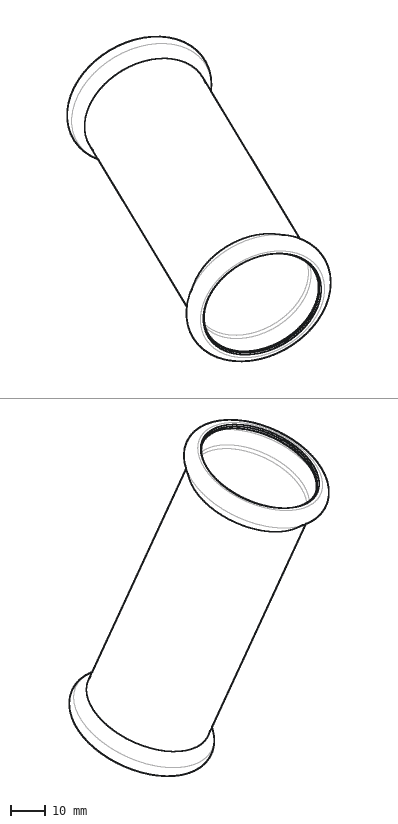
import cadquery as cq
import math

length = 102.0
tube_radius = 38.4 / 2
bore_radius = 35.3 / 2
lip_radius = 35.9 / 2
bead_outer_radius = 44.6 / 2
lip_chamfer = 0.4
bead_radius = 3.0
bead_end = 8.5
blend_radius = 2.0

wall = tube_radius - bore_radius
bead_center_radius = bead_outer_radius - bead_radius
groove_radius = bead_radius - wall
bead_center = (bead_radius, bead_center_radius)

flare_run = bead_end - bead_radius
flare_drop = bead_center_radius - tube_radius
flare_reach = math.hypot(flare_run, flare_drop)
tangent_angle = math.acos(bead_radius / flare_reach) - math.atan2(flare_drop, flare_run)

bore_drop = bead_center_radius - bore_radius
groove_run = (groove_radius + bore_drop * math.sin(tangent_angle)) / math.cos(tangent_angle)
bore_corner = bead_radius + groove_run

flare_slope = math.pi / 2 - tangent_angle
blend_reach = blend_radius * math.tan(flare_slope / 2)
blend_start = (
    bore_corner - blend_reach * math.cos(flare_slope),
    bore_radius + blend_reach * math.sin(flare_slope),
)
blend_end = (bore_corner + blend_reach, bore_radius)
blend_middle = (
    blend_end[0] - blend_radius * math.sin(flare_slope / 2),
    bore_radius + blend_radius * (1 - math.cos(flare_slope / 2)),
)


def bead_point(radius, angle):
    """Point on a bead arc, as (distance from the end, distance from the axis)."""
    return (
        bead_center[0] + radius * math.cos(angle),
        bead_center[1] + radius * math.sin(angle),
    )


def half_coupling():
    """Revolve the wall section from the end at x = 0 to mid-length."""
    middle = length / 2
    arc_middle = (math.pi + tangent_angle) / 2
    section = (
        cq.Workplane("XY")
        .moveTo(middle, bore_radius)
        .lineTo(middle, tube_radius)
        .lineTo(bead_end, tube_radius)
        .lineTo(*bead_point(bead_radius, tangent_angle))
        .threePointArc(bead_point(bead_radius, arc_middle), (0, bead_center_radius))
        .lineTo(0, lip_radius + lip_chamfer)
        .lineTo(lip_chamfer, lip_radius)
        .lineTo(wall - lip_chamfer, lip_radius)
        .lineTo(wall, lip_radius + lip_chamfer)
        .lineTo(wall, bead_center_radius)
        .threePointArc(
            bead_point(groove_radius, arc_middle),
            bead_point(groove_radius, tangent_angle),
        )
        .lineTo(*blend_start)
        .threePointArc(blend_middle, blend_end)
        .close()
    )
    return section.revolve(360, (0, 0, 0), (1, 0, 0))


left_half = half_coupling().translate((-length / 2, 0, 0))
right_half = left_half.mirror("YZ")
result = left_half.union(right_half, clean=True)